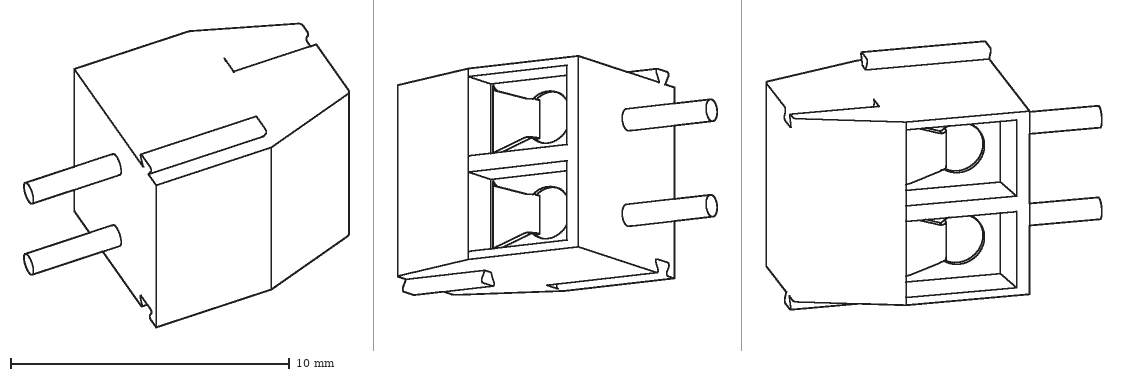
import cadquery as cq
import math


width = 6.8
depth = 8.4
height = 7.0
total_height = 7.96
shoulder_y = 4.59
nose_inset = 1.38
nose_radius = 0.18

pole_count = 2
pole_pitch = height / pole_count
pin_diameter = 0.8
total_length = 11.9
pin_length = total_length - depth
pin_x = 3.5

pocket_height = 2.9
pocket_depth = 1.6
pocket_mouth_y = 0.49
pocket_floor_y = 0.67

recess_radius = 0.95
recess_depth = 0.2
recess_y = 2.21

guide_top_x = 1.29
guide_round = 0.4
guide_flat_start_y = 4.09
guide_flat_end_y = 3.08
guide_neck_y = 2.93
guide_neck_half = 0.7
guide_wide_half = 1.08
guide_flare_half = 1.43
guide_flare_bulge = 0.08

dovetail_angle = 57.5
dovetail_radius = 0.1
rib_neck = 0.43
rib_height = (total_height - height) / 2
groove_neck = 0.45
groove_height = 0.5
pin_end_x = 5.94
pin_end_length = shoulder_y
nose_end_x = 2.25
nose_end_length = 3.3


def make_housing():
    outline = [
        (0, 0),
        (width, 0),
        (width, shoulder_y),
        (width - nose_inset, depth),
        (nose_inset, depth),
        (0, shoulder_y),
    ]
    body = cq.Workplane("XY").polyline(outline).close().extrude(height)
    return body.edges("|Z").edges(">Y").fillet(nose_radius)


def make_dovetail(neck, tall, start_y, length):
    """Dovetail widening towards +Z, centred on x = 0 with its neck at z = 0."""
    neck_half = neck / 2
    head_half = neck_half + tall / math.tan(math.radians(dovetail_angle))
    outline = [(-neck_half, 0), (neck_half, 0), (head_half, tall), (-head_half, tall)]
    bar = cq.Workplane("XZ", origin=(0, start_y + length, 0)).polyline(outline).close().extrude(length)
    return bar.edges("|Y").edges(">Z").fillet(dovetail_radius)


def make_groove_mouth(start_y, length):
    """Flare that rounds both acute edges where a groove opens, at z = 0."""
    angle = math.radians(dovetail_angle)
    tangent = dovetail_radius / math.tan(angle / 2)
    neck_half = groove_neck / 2
    mouth_half = neck_half + tangent
    flank_x = neck_half + tangent * math.cos(angle)
    flank_z = tangent * math.sin(angle)
    middle_angle = angle / 2
    middle_reach = dovetail_radius / math.sin(middle_angle) - dovetail_radius
    middle_x = neck_half + middle_reach * math.cos(middle_angle)
    middle_z = middle_reach * math.sin(middle_angle)
    return (
        cq.Workplane("XZ", origin=(0, start_y + length, 0))
        .moveTo(-mouth_half, 0)
        .lineTo(mouth_half, 0)
        .threePointArc((middle_x, middle_z), (flank_x, flank_z))
        .lineTo(-flank_x, flank_z)
        .threePointArc((-middle_x, middle_z), (-mouth_half, 0))
        .close()
        .extrude(length)
    )


def make_rib(start_y, length):
    return make_dovetail(rib_neck, rib_height, start_y, length)


def make_groove(start_y, length):
    slot = make_dovetail(groove_neck, groove_height, start_y, length)
    return slot.union(make_groove_mouth(start_y, length))


def make_pin(pole_z):
    return cq.Workplane("XZ", origin=(pin_x, 0, pole_z)).circle(pin_diameter / 2).extrude(pin_length)


def make_pocket(pole_z):
    outline = [
        (0, pocket_mouth_y),
        (pocket_depth, pocket_floor_y),
        (pocket_depth, shoulder_y),
        (0, shoulder_y),
    ]
    pocket = (
        cq.Workplane("XY", origin=(0, 0, pole_z - pocket_height / 2))
        .polyline(outline)
        .close()
        .extrude(pocket_height)
    )
    recess = (
        cq.Workplane("YZ", origin=(pocket_depth, recess_y, pole_z))
        .circle(recess_radius)
        .extrude(recess_depth)
    )
    return pocket.union(recess)


def make_guide(pole_z):
    base_x = pocket_depth + recess_depth
    round_x = guide_top_x + guide_round
    near_y = guide_flat_end_y - guide_round
    far_y = guide_flat_start_y + guide_round
    profile = (
        cq.Workplane("XY", origin=(0, 0, pole_z - pocket_height / 2))
        .moveTo(base_x, near_y)
        .lineTo(round_x, near_y)
        .radiusArc((guide_top_x, guide_flat_end_y), guide_round)
        .lineTo(guide_top_x, guide_flat_start_y)
        .radiusArc((round_x, far_y), guide_round)
        .lineTo(base_x, far_y)
        .close()
        .extrude(pocket_height)
    )
    flare_chord = math.hypot(far_y - guide_flat_start_y, guide_flare_half - guide_wide_half)
    bow_y = guide_flare_bulge * (guide_flare_half - guide_wide_half) / flare_chord
    bow_z = guide_flare_bulge * (far_y - guide_flat_start_y) / flare_chord
    flare_y = (guide_flat_start_y + far_y) / 2 + bow_y
    flare_z = (guide_wide_half + guide_flare_half) / 2 - bow_z
    face = (
        cq.Workplane("YZ", origin=(0, 0, pole_z))
        .moveTo(near_y, -guide_neck_half)
        .lineTo(guide_neck_y, -guide_neck_half)
        .lineTo(guide_flat_start_y, -guide_wide_half)
        .threePointArc((flare_y, -flare_z), (far_y, -guide_flare_half))
        .lineTo(far_y, guide_flare_half)
        .threePointArc((flare_y, flare_z), (guide_flat_start_y, guide_wide_half))
        .lineTo(guide_neck_y, guide_neck_half)
        .lineTo(near_y, guide_neck_half)
        .close()
        .extrude(base_x)
    )
    return profile.intersect(face)


result = make_housing()

for pole in range(pole_count):
    centre_z = (pole + 0.5) * pole_pitch
    result = result.cut(make_pocket(centre_z))
    result = result.union(make_guide(centre_z))
    result = result.union(make_pin(centre_z))

nose_start_y = depth - nose_end_length
top_rib = make_rib(0, pin_end_length).translate((pin_end_x, 0, height))
bottom_rib = make_rib(nose_start_y, nose_end_length).mirror("XY").translate((nose_end_x, 0, 0))
top_groove = make_groove(nose_start_y, nose_end_length).mirror("XY").translate((nose_end_x, 0, height))
bottom_groove = make_groove(0, pin_end_length).translate((pin_end_x, 0, 0))
result = result.union(top_rib).union(bottom_rib).cut(top_groove).cut(bottom_groove)